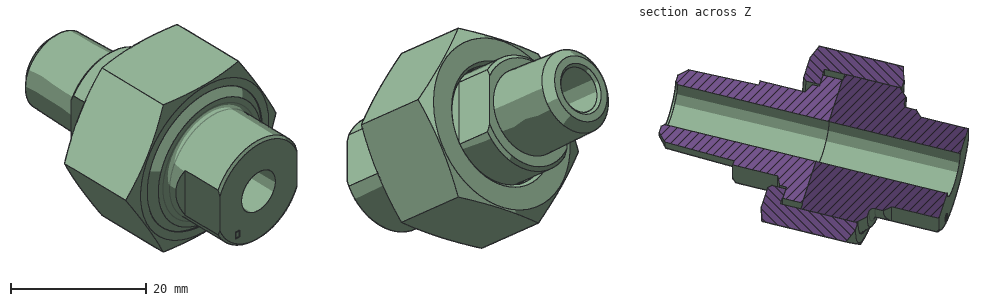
import cadquery as cq
import math


overall_length = 44.0
bore_radius = 7.0 / 2
sleeve_radius = 18.0 / 2

thread_tip_radius = 6.45
thread_root_radius = 6.78
thread_chamfer_length = 1.28
tip_face_radius = 5.1
bore_chamfer = 0.45
collar_start = 11.95
collar_chamfer_length = 0.55
collar_chamfer_depth = 0.55
tail_flat_width = 15.0
tail_flat_end = 18.9
tail_runout_angle = math.radians(65)

nut_across_flats = 27.0
nut_across_corners = nut_across_flats / math.cos(math.pi / 6)
nut_start = 18.0
nut_length = 14.5
nut_end = nut_start + nut_length
nut_face_radius = 13.3
nut_chamfer_length = 0.8
nut_lip_length = 2.65
nut_hole_radius = 9.25
nut_hole_chamfer = 0.55

flange_start = nut_start + nut_lip_length
flange_length = 3.1
joint_x = flange_start + flange_length
flange_radius = 11.0
nut_thread_radius = 23.85 / 2

mark_height = 0.15
head_end = overall_length - mark_height
shoulder_x = 33.55
shoulder_chamfer = 1.28
shoulder_rim_radius = nut_thread_radius - shoulder_chamfer
neck_fillet = 0.7
neck_end = shoulder_x + neck_fillet
head_chamfer = 0.4
head_flat_width = 16.0
head_flat_start = 36.55
head_runout_angle = math.radians(45)

mark_width = 0.8
mark_length = 1.15
mark_y = -4.4
mark_z = -5.65


def revolve_about_x(profile):
    """Turn a closed (x, radius) profile around the X axis."""
    return profile.close().revolve(360, (0, 0, 0), (1, 0, 0))


def flat_cutter(side, flat_width, outer_x, inner_x, runout_angle):
    """Block outside one wrench flat, with a sloped run-out at inner_x; side is +1 or -1 in Y."""
    depth = sleeve_radius
    flat_y = flat_width / 2
    outer_y = flat_y + depth
    runout = math.copysign(depth / math.tan(runout_angle), inner_x - outer_x)
    return (
        cq.Workplane("XY")
        .moveTo(outer_x, side * flat_y)
        .lineTo(inner_x, side * flat_y)
        .lineTo(inner_x + runout, side * outer_y)
        .lineTo(outer_x, side * outer_y)
        .close()
        .extrude(sleeve_radius, both=True)
    )


def make_tail():
    sleeve = revolve_about_x(
        cq.Workplane("XY")
        .moveTo(0, bore_radius + bore_chamfer)
        .lineTo(0, tip_face_radius)
        .lineTo(thread_chamfer_length, thread_tip_radius)
        .lineTo(collar_start, thread_root_radius)
        .lineTo(collar_start, sleeve_radius - collar_chamfer_depth)
        .lineTo(collar_start + collar_chamfer_length, sleeve_radius)
        .lineTo(joint_x, sleeve_radius)
        .lineTo(joint_x, bore_radius)
        .lineTo(bore_chamfer, bore_radius)
    )
    for side in (-1, 1):
        sleeve = sleeve.cut(flat_cutter(side, tail_flat_width, collar_start, tail_flat_end, tail_runout_angle))
    flange = (
        cq.Workplane("YZ", origin=(flange_start, 0, 0))
        .circle(flange_radius)
        .circle(bore_radius)
        .extrude(flange_length)
    )
    return sleeve.union(flange)


def make_nut():
    hexagon = (
        cq.Workplane("YZ", origin=(nut_start, 0, 0))
        .polygon(6, nut_across_corners)
        .extrude(nut_length)
    )
    corner_radius = nut_across_corners / 2
    envelope = revolve_about_x(
        cq.Workplane("XY")
        .moveTo(nut_start, nut_hole_radius + nut_hole_chamfer)
        .lineTo(nut_start, nut_face_radius)
        .lineTo(nut_start + nut_chamfer_length, corner_radius)
        .lineTo(nut_end - nut_chamfer_length, corner_radius)
        .lineTo(nut_end, nut_face_radius)
        .lineTo(nut_end, nut_thread_radius)
        .lineTo(flange_start, nut_thread_radius)
        .lineTo(flange_start, nut_hole_radius)
        .lineTo(nut_start + nut_hole_chamfer, nut_hole_radius)
    )
    return hexagon.intersect(envelope)


def make_head():
    neck_radius = sleeve_radius + neck_fillet
    arc_offset = neck_fillet * math.sqrt(0.5)
    head = revolve_about_x(
        cq.Workplane("XY")
        .moveTo(joint_x, bore_radius)
        .lineTo(joint_x, nut_thread_radius)
        .lineTo(shoulder_x - shoulder_chamfer, nut_thread_radius)
        .lineTo(shoulder_x, shoulder_rim_radius)
        .lineTo(shoulder_x, neck_radius)
        .threePointArc((neck_end - arc_offset, neck_radius - arc_offset), (neck_end, sleeve_radius))
        .lineTo(head_end - head_chamfer, sleeve_radius)
        .lineTo(head_end, sleeve_radius - head_chamfer)
        .lineTo(head_end, bore_radius)
    )
    for side in (-1, 1):
        head = head.cut(flat_cutter(side, head_flat_width, head_end, head_flat_start, head_runout_angle))
    mark = (
        cq.Workplane("YZ", origin=(head_end, mark_y, mark_z))
        .rect(mark_width, mark_length)
        .extrude(mark_height)
    )
    return head.union(mark)


tail = make_tail()
nut = make_nut()
head = make_head()

result = cq.Compound.makeCompound([tail.solids().val(), nut.solids().val(), head.solids().val()])